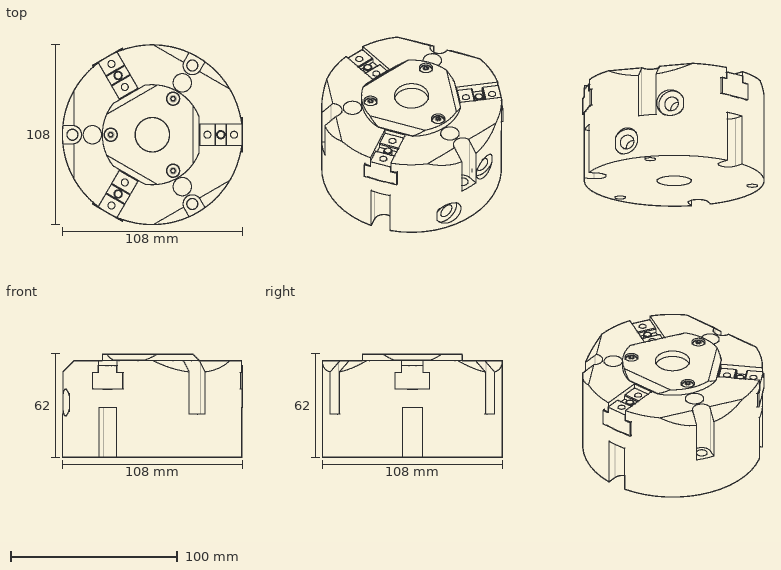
import cadquery as cq
import math

BODY_DIAMETER = 108.0
BODY_RADIUS = BODY_DIAMETER / 2
BODY_HEIGHT = 58.0
BORE_DIAMETER = 20.5
JAW_ANGLES = (0, 120, 240)
MOUNT_ANGLES = (60, 180, 300)
DRILL_POINT_ANGLE = 118.0

COVER_DIAMETER = 60.0
COVER_THICKNESS = 4.0
COVER_FLAT_DISTANCE = 28.0
COVER_BEVEL = 3.7

SCREW_RADIUS = 25.0
SCREW_HEAD_DIAMETER = 7.6
SCREW_HEAD_HEIGHT = 2.2
SCREW_HEAD_FLAT_DIAMETER = 3.9
SCREW_HEAD_RIM = 0.5
SCREW_DOME_BULGE = 0.38
SCREW_SHANK_DIAMETER = 4.0
SCREW_SHANK_LENGTH = 10.0
SCREW_RECESS_DIAMETER = 8.0
SOCKET_WIDTH = 2.5
SOCKET_DEPTH = 1.3

JAW_INNER_RADIUS = 28.5
JAW_NECK_WIDTH = 13.0
JAW_FOOT_WIDTH = 20.8
JAW_TOP_DEPTH = 2.9
JAW_FOOT_TOP_DEPTH = 7.0
JAW_BOTTOM_DEPTH = 17.0
JAW_HOLE_DIAMETER = 4.2
JAW_HOLE_DEPTH = 9.7
JAW_HOLE_SPACING = 16.0
KEYWAY_RADIUS = 41.0
KEYWAY_WIDTH = 6.0
KEYWAY_DEPTH = 3.0
KEYWAY_CHAMFER = 0.5
BOSS_DIAMETER = 5.0
BOSS_HEIGHT = 2.4
BOSS_CHAMFER = 0.4
OIL_GROOVE_WIDTH = 6.0
OIL_GROOVE_DEPTH = 0.3

MOUNT_RADIUS = 48.0
MOUNT_SLOT_WIDTH = 11.0
MOUNT_SLOT_DEPTH = 32.0
MOUNT_HOLE_DIAMETER = 6.5
BEVEL_DISTANCE = 47.0

TOP_HOLE_RADIUS = 36.0
TOP_HOLE_DIAMETER = 11.0
TOP_HOLE_DEPTH = 20.0

BASE_SLOT_RADIUS = MOUNT_RADIUS
BASE_SLOT_WIDTH = 12.0
BASE_SLOT_HEIGHT = 30.0

PORT_CENTRES = ((-13.9, 32.9), (14.0, 11.6))
PORT_FACE_DIAMETER = 16.0
PORT_FACE_DISTANCE = 49.6
PORT_HOLE_DIAMETER = 8.5
PORT_HOLE_DEPTH = 11.9


def turned(shape, angle):
    """The shape turned about the central axis."""
    return shape.rotate((0, 0, 0), (0, 0, 1), angle)


def cylinder(diameter, bottom, top, x=0.0):
    """A vertical cylinder with its axis at the given x."""
    return cq.Workplane("XY", origin=(x, 0, bottom)).circle(diameter / 2).extrude(top - bottom)


def drilled_hole(diameter, depth):
    """A blind hole below the origin, straight to the depth and then with a drill point."""
    radius = diameter / 2
    point = radius / math.tan(math.radians(DRILL_POINT_ANGLE / 2))
    outline = [(0, 0), (radius, 0), (radius, -depth), (0, -depth - point)]
    return cq.Workplane("XZ").polyline(outline).close().revolve(360, (0, 0, 0), (0, 1, 0))


def open_slot(width, centre_radius, bottom, top):
    """A slot with a round inner end, open to the +X side."""
    straight = (
        cq.Workplane("XY")
        .box(BODY_RADIUS, width, top - bottom, centered=(False, True, False))
        .translate((centre_radius, 0, bottom))
    )
    return cylinder(width, bottom, top, centre_radius).union(straight)


def t_profile(neck_top):
    """A T-shaped bar along X from the inner end of the jaw to the flat outer end."""
    half_neck = JAW_NECK_WIDTH / 2
    half_foot = JAW_FOOT_WIDTH / 2
    shoulder = BODY_HEIGHT - JAW_FOOT_TOP_DEPTH
    bottom = BODY_HEIGHT - JAW_BOTTOM_DEPTH
    outline = [
        (-half_foot, bottom),
        (half_foot, bottom),
        (half_foot, shoulder),
        (half_neck, shoulder),
        (half_neck, neck_top),
        (-half_neck, neck_top),
        (-half_neck, shoulder),
        (-half_foot, shoulder),
    ]
    length = BODY_RADIUS - JAW_INNER_RADIUS
    return cq.Workplane("YZ", origin=(JAW_INNER_RADIUS, 0, 0)).polyline(outline).close().extrude(length)


def make_jaw():
    """A T-shaped jaw on the +X side, with a chamfered keyway, a centring boss and two holes."""
    top = BODY_HEIGHT - JAW_TOP_DEPTH
    floor = top - KEYWAY_DEPTH
    half_key = KEYWAY_WIDTH / 2
    half_mouth = half_key + KEYWAY_CHAMFER
    keyway = (
        cq.Workplane("XZ", origin=(KEYWAY_RADIUS, 0, top))
        .polyline(
            [
                (-half_key, -KEYWAY_DEPTH),
                (half_key, -KEYWAY_DEPTH),
                (half_key, -KEYWAY_CHAMFER),
                (half_mouth, 0),
                (-half_mouth, 0),
                (-half_key, -KEYWAY_CHAMFER),
            ]
        )
        .close()
        .extrude(JAW_NECK_WIDTH / 2, both=True)
    )
    boss = cylinder(BOSS_DIAMETER, floor, floor + BOSS_HEIGHT, KEYWAY_RADIUS)
    boss = boss.faces(">Z").chamfer(BOSS_CHAMFER)
    jaw = t_profile(top).cut(keyway).union(boss)
    for side in (-1, 1):
        hole_x = KEYWAY_RADIUS + side * JAW_HOLE_SPACING / 2
        jaw = jaw.cut(drilled_hole(JAW_HOLE_DIAMETER, JAW_HOLE_DEPTH).translate((hole_x, 0, top)))
    return jaw


def make_screw():
    """A button head screw on the +X side, its flat head top level with the cover."""
    head_radius = SCREW_HEAD_DIAMETER / 2
    flat_radius = SCREW_HEAD_FLAT_DIAMETER / 2
    shank_radius = SCREW_SHANK_DIAMETER / 2
    dome_width = head_radius - flat_radius
    dome_drop = SCREW_HEAD_HEIGHT - SCREW_HEAD_RIM
    dome_chord = math.hypot(dome_width, dome_drop)
    dome_middle = (
        flat_radius + dome_width / 2 + SCREW_DOME_BULGE * dome_drop / dome_chord,
        -dome_drop / 2 + SCREW_DOME_BULGE * dome_width / dome_chord,
    )
    screw = (
        cq.Workplane("XZ")
        .moveTo(0, 0)
        .lineTo(flat_radius, 0)
        .threePointArc(dome_middle, (head_radius, -dome_drop))
        .lineTo(head_radius, -SCREW_HEAD_HEIGHT)
        .lineTo(shank_radius, -SCREW_HEAD_HEIGHT)
        .lineTo(shank_radius, -SCREW_HEAD_HEIGHT - SCREW_SHANK_LENGTH)
        .lineTo(0, -SCREW_HEAD_HEIGHT - SCREW_SHANK_LENGTH)
        .close()
        .revolve(360, (0, 0, 0), (0, 1, 0))
    )
    corner_diameter = SOCKET_WIDTH / math.cos(math.radians(30))
    socket = cq.Workplane("XY").polygon(6, corner_diameter).extrude(-SOCKET_DEPTH)
    point = drilled_hole(SOCKET_WIDTH, SOCKET_DEPTH)
    return screw.cut(socket).cut(point).translate((SCREW_RADIUS, 0, BODY_HEIGHT + COVER_THICKNESS))


def make_cover():
    """A round plate with three bevelled flats, a bore and three screw recesses."""
    top = BODY_HEIGHT + COVER_THICKNESS
    cover = cylinder(COVER_DIAMETER, BODY_HEIGHT, top).cut(cylinder(BORE_DIAMETER, BODY_HEIGHT, top))
    flat_outline = [
        (COVER_FLAT_DISTANCE, BODY_HEIGHT),
        (COVER_FLAT_DISTANCE, top - COVER_BEVEL),
        (COVER_FLAT_DISTANCE - COVER_BEVEL, top),
        (COVER_DIAMETER, top),
        (COVER_DIAMETER, BODY_HEIGHT),
    ]
    flat = cq.Workplane("XZ").polyline(flat_outline).close().extrude(COVER_DIAMETER, both=True)
    for angle in JAW_ANGLES:
        cover = cover.cut(turned(flat, angle))
    recess = cylinder(SCREW_RECESS_DIAMETER, top - SCREW_HEAD_HEIGHT, top, SCREW_RADIUS)
    clearance = cylinder(SCREW_SHANK_DIAMETER, BODY_HEIGHT, top, SCREW_RADIUS)
    for angle in MOUNT_ANGLES:
        cover = cover.cut(turned(recess.union(clearance), angle))
    return cover


def mount_cuts():
    """The bevel, slot and holes at one mounting position, on the +X side."""
    wedge = 2 * (BODY_RADIUS - BEVEL_DISTANCE)
    bevel_outline = [
        (BEVEL_DISTANCE, BODY_HEIGHT),
        (BEVEL_DISTANCE + wedge, BODY_HEIGHT),
        (BEVEL_DISTANCE + wedge, BODY_HEIGHT - wedge),
    ]
    bevel = cq.Workplane("XZ").polyline(bevel_outline).close().extrude(BODY_RADIUS, both=True)
    slot = open_slot(MOUNT_SLOT_WIDTH, MOUNT_RADIUS, BODY_HEIGHT - MOUNT_SLOT_DEPTH, BODY_HEIGHT)
    through_hole = cylinder(MOUNT_HOLE_DIAMETER, 0, BODY_HEIGHT, MOUNT_RADIUS)
    top_hole = drilled_hole(TOP_HOLE_DIAMETER, TOP_HOLE_DEPTH).translate((TOP_HOLE_RADIUS, 0, BODY_HEIGHT))
    screw_bottom = BODY_HEIGHT + COVER_THICKNESS - SCREW_HEAD_HEIGHT - SCREW_SHANK_LENGTH
    screw_hole = cylinder(SCREW_SHANK_DIAMETER, screw_bottom, BODY_HEIGHT, SCREW_RADIUS)
    return [bevel, slot, through_hole, top_hole, screw_hole]


def jaw_cuts():
    """The T-slot, its floor groove and the bottom slot at one jaw position, on the +X side."""
    groove = cq.Workplane("XY").box(
        BODY_RADIUS - JAW_INNER_RADIUS, OIL_GROOVE_WIDTH, OIL_GROOVE_DEPTH, centered=(False, True, False)
    )
    groove = groove.translate((JAW_INNER_RADIUS, 0, BODY_HEIGHT - JAW_BOTTOM_DEPTH - OIL_GROOVE_DEPTH))
    base_slot = open_slot(BASE_SLOT_WIDTH, BASE_SLOT_RADIUS, 0, BASE_SLOT_HEIGHT)
    return [t_profile(BODY_HEIGHT), groove, base_slot]


def port_cut(y, z):
    """A flat round seat and a blind hole, both along X, in the -X side."""
    port = drilled_hole(PORT_HOLE_DIAMETER, PORT_HOLE_DEPTH).union(
        cylinder(PORT_FACE_DIAMETER, 0, BODY_RADIUS - PORT_FACE_DISTANCE)
    )
    return port.rotate((0, 0, 0), (0, 1, 0), -90).translate((-PORT_FACE_DISTANCE, y, z))


def make_housing():
    """The round body with all its slots and holes."""
    housing = cylinder(BODY_DIAMETER, 0, BODY_HEIGHT).cut(cylinder(BORE_DIAMETER, 0, BODY_HEIGHT))
    for angle in MOUNT_ANGLES:
        for cut in mount_cuts():
            housing = housing.cut(turned(cut, angle))
    for angle in JAW_ANGLES:
        for cut in jaw_cuts():
            housing = housing.cut(turned(cut, angle))
    for y, z in PORT_CENTRES:
        housing = housing.cut(port_cut(y, z))
    return housing


housing = make_housing()
cover = make_cover()
jaws = [turned(make_jaw(), angle) for angle in JAW_ANGLES]
screws = [turned(make_screw(), angle) for angle in MOUNT_ANGLES]

result = cq.Compound.makeCompound(
    [housing.val(), cover.val(), *[jaw.val() for jaw in jaws], *[screw.val() for screw in screws]]
)